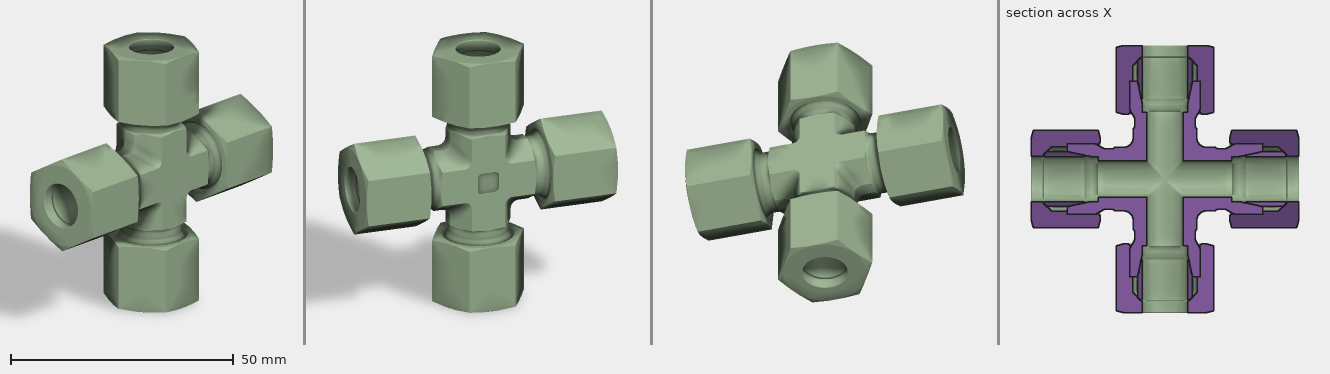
import cadquery as cq
import math


arm_hex_flats = 14.0
arm_side_width = 14.4
crotch_radius = 2.0
hex_bevel_angle = 15.0
neck_diameter = 13.7
neck_start = 11.9
neck_end = 13.4
hex_fillet = 0.7
thread_fillet = 0.7
thread_diameter = 16.0
thread_bevel_angle = 30.0
arm_end = 22.0
passage_diameter = 8.0
tube_diameter = 10.0
tube_stop = 15.0
mouth_diameter = 12.3
mouth_half_angle = 12.0
badge_size = 5.0
badge_corner_radius = 1.0
badge_depth = 0.8

nut_flats = 19.0
nut_start = 14.5
nut_end = 30.0
nut_bevel_diameter = 18.8
nut_bevel_angle = 15.0
nut_hole_diameter = 10.1
nut_hole_chamfer = 0.15
nut_core_diameter = 14.38
nut_seat_half_angle = 45.0
nut_countersink_diameter = 16.4
nut_countersink_angle = 45.0

ring_nose = 18.0
ring_end = 27.1
ring_end_diameter = 11.0

arm_angles = [0, 90, 180, 270]
hex_half_angle = 30.0
position_tolerance = 1e-4


def tan_deg(angle):
    return math.tan(math.radians(angle))


def sin_deg(angle):
    return math.sin(math.radians(angle))


def cos_deg(angle):
    return math.cos(math.radians(angle))


def revolve_about_z(profile):
    """Close an (r, z) wire drawn in the XZ plane and spin it about the Z axis."""
    return profile.close().revolve(360, (0, 0, 0), (0, 1, 0))


def aim(shape, angle):
    """Turn a shape built along +Z onto the arm at the given angle."""
    return shape.rotate((0, 0, 0), (1, 0, 0), angle)


def hex_bar(flats, start, end):
    """Hexagonal bar along Z with two flats facing +X and -X."""
    across_corners = flats / cos_deg(hex_half_angle)
    bar = cq.Workplane("XY").workplane(offset=start).polygon(6, across_corners).extrude(end - start)
    return bar.rotate((0, 0, 0), (0, 0, 1), hex_half_angle)



def make_cross_core():
    """Two crossing bars of side-cut hexagon section, rounded where they meet."""
    def bar():
        full = hex_bar(arm_hex_flats, -neck_start, neck_start)
        return full.intersect(cq.Workplane("XY").box(arm_hex_flats, arm_side_width, 2 * neck_start))

    core = bar().union(aim(bar(), 90))
    corners = []
    for edge in core.edges().vals():
        ends = [edge.startPoint(), edge.endPoint()]
        if all(abs(abs(p.y) - abs(p.z)) < position_tolerance for p in ends):
            corners.append(edge)
    return core.newObject(corners).fillet(crotch_radius)


def make_arm_end():
    """Neck and threaded end of one arm, with a fillet from the neck into the thread bevel."""
    neck_r = neck_diameter / 2
    thread_r = thread_diameter / 2
    fillet_top_r = neck_r + thread_fillet * (1 - cos_deg(thread_bevel_angle))
    fillet_top_z = neck_end + thread_fillet * sin_deg(thread_bevel_angle)
    mid = thread_bevel_angle / 2
    fillet_mid = (neck_r + thread_fillet * (1 - cos_deg(mid)), neck_end + thread_fillet * sin_deg(mid))
    thread_z = fillet_top_z + (thread_r - fillet_top_r) / tan_deg(thread_bevel_angle)
    profile = (
        cq.Workplane("XZ").lineTo(neck_r, 0).lineTo(neck_r, neck_end)
        .threePointArc(fillet_mid, (fillet_top_r, fillet_top_z))
        .lineTo(thread_r, thread_z).lineTo(thread_r, arm_end).lineTo(0, arm_end)
    )
    return revolve_about_z(profile)


def make_hex_end_limit():
    """Round envelope that bevels the end of the hexagon and blends it into the neck."""
    neck_r = neck_diameter / 2
    outer_r = arm_hex_flats
    centre_r = neck_r + hex_fillet
    tangent_r = centre_r - hex_fillet * sin_deg(hex_bevel_angle)
    tangent_z = neck_start - hex_fillet * cos_deg(hex_bevel_angle)
    mid = (hex_bevel_angle + 90) / 2
    fillet_mid = (centre_r - hex_fillet * sin_deg(mid), neck_start - hex_fillet * cos_deg(mid))
    outer_z = tangent_z - (outer_r - tangent_r) * tan_deg(hex_bevel_angle)
    profile = (
        cq.Workplane("XZ").moveTo(neck_r, neck_start)
        .threePointArc(fillet_mid, (tangent_r, tangent_z))
        .lineTo(outer_r, outer_z).lineTo(outer_r, neck_start)
    )
    return revolve_about_z(profile)


def make_arm_bore():
    """Passage, tube socket and sealing cone of one arm."""
    tube_r = tube_diameter / 2
    mouth_r = mouth_diameter / 2
    passage_r = passage_diameter / 2
    cone_start = arm_end - (mouth_r - tube_r) / tan_deg(mouth_half_angle)
    profile = (
        cq.Workplane("XZ").lineTo(passage_r, 0).lineTo(passage_r, tube_stop)
        .lineTo(tube_r, tube_stop).lineTo(tube_r, cone_start)
        .lineTo(mouth_r, arm_end).lineTo(0, arm_end)
    )
    return revolve_about_z(profile)


def make_badge_recess():
    """Shallow square recess with rounded corners in the middle of the -X face."""
    face_x = -arm_hex_flats / 2
    block = cq.Workplane("XY").box(2 * badge_depth, badge_size, badge_size)
    return block.edges("|X").fillet(badge_corner_radius).translate((face_x, 0, 0))


def make_body():
    body = make_cross_core()
    for angle in arm_angles:
        body = body.cut(aim(make_hex_end_limit(), angle))
    for angle in arm_angles:
        body = body.union(aim(make_arm_end(), angle))
    for angle in arm_angles:
        body = body.cut(aim(make_arm_bore(), angle))
    return body.cut(make_badge_recess())



def make_nut():
    """Hexagon nut with bevelled ends, a threaded cavity and a conical seat for the ring."""
    nut = hex_bar(nut_flats, nut_start, nut_end)

    bevel_r = nut_bevel_diameter / 2
    outer_r = nut_flats
    bevel_height = (outer_r - bevel_r) * tan_deg(nut_bevel_angle)
    envelope = revolve_about_z(
        cq.Workplane("XZ").moveTo(0, nut_start).lineTo(bevel_r, nut_start)
        .lineTo(outer_r, nut_start + bevel_height).lineTo(outer_r, nut_end - bevel_height)
        .lineTo(bevel_r, nut_end).lineTo(0, nut_end)
    )
    nut = nut.intersect(envelope)

    core_r = nut_core_diameter / 2
    hole_r = nut_hole_diameter / 2
    seat_end = ring_end + (ring_end_diameter / 2 - hole_r) / tan_deg(nut_seat_half_angle)
    seat_start = seat_end - (core_r - hole_r) / tan_deg(nut_seat_half_angle)
    countersink_r = nut_countersink_diameter / 2
    countersink_end = nut_start + (countersink_r - core_r) / tan_deg(nut_countersink_angle)
    cavity = revolve_about_z(
        cq.Workplane("XZ").moveTo(0, nut_start).lineTo(countersink_r, nut_start)
        .lineTo(core_r, countersink_end).lineTo(core_r, seat_start)
        .lineTo(hole_r, seat_end).lineTo(hole_r, nut_end - nut_hole_chamfer)
        .lineTo(hole_r + nut_hole_chamfer, nut_end).lineTo(0, nut_end)
    )
    return nut.cut(cavity).cut(make_arm_end())



def make_ring():
    """Ring on the tube: its nose fills the sealing cone, its back bears on the nut seat."""
    tube_r = tube_diameter / 2
    mouth_r = mouth_diameter / 2
    back_r = ring_end_diameter / 2
    nose_r = mouth_r - (arm_end - ring_nose) * tan_deg(mouth_half_angle)
    back_start = ring_end - (mouth_r - back_r) / tan_deg(nut_seat_half_angle)
    profile = (
        cq.Workplane("XZ").moveTo(tube_r, ring_nose).lineTo(nose_r, ring_nose)
        .lineTo(mouth_r, arm_end).lineTo(mouth_r, back_start)
        .lineTo(back_r, ring_end).lineTo(tube_r, ring_end)
    )
    return revolve_about_z(profile)


cross_body = make_body()
nuts = [aim(make_nut(), angle) for angle in arm_angles]
rings = [aim(make_ring(), angle) for angle in arm_angles]

result = cq.Compound.makeCompound(
    [cross_body.val()] + [nut.val() for nut in nuts] + [ring.val() for ring in rings]
)